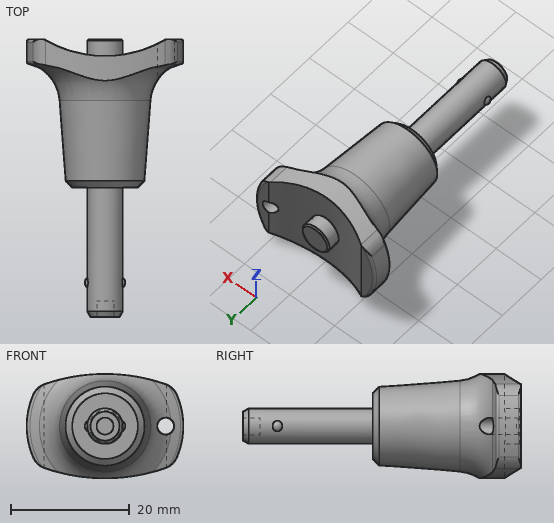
import cadquery as cq
import math

length = 46.8

pin_radius = 6.0 / 2
tip_chamfer_length = 1.0
tip_chamfer_depth = 0.55
tip_hole_diameter = 2.85
tip_hole_depth = 2.8

ball_radius = 2.0 / 2
ball_reach = 3.4
ball_y = 5.8

handle_base_y = 21.8
base_chamfer = 1.1
base_radius = 6.65
neck_y = 36.5
neck_radius = 7.68
flare_end_y = 42.0
flare_end_radius = 11.1
rim_radius = 13.2
rim_underside_y = 42.55
rim_round = 0.5

half_height = 17.6 / 2
side_arc_radius = 30.9
corner_radius = 3.5

dish_radius = 20.0
dish_depth = 2.85
button_chamfer = 0.3

lanyard_hole_diameter = 2.8
lanyard_hole_x = 10.2


def cylinder_y(radius, start, end, x=0):
    """Cylinder parallel to Y between two Y positions."""
    axis_start = cq.Vector(x, start, 0)
    return cq.Workplane(cq.Solid.makeCylinder(radius, end - start, axis_start, cq.Vector(0, 1, 0)))


def turned_handle():
    """Tapered grip flaring out to a round rim, revolved about Y."""
    corner = rim_round * math.sqrt(0.5)
    profile = (
        cq.Workplane("XY")
        .moveTo(0, handle_base_y)
        .lineTo(base_radius - base_chamfer, handle_base_y)
        .lineTo(base_radius, handle_base_y + base_chamfer)
        .lineTo(neck_radius, neck_y)
        .tangentArcPoint((flare_end_radius, flare_end_y), relative=False)
        .lineTo(rim_radius - rim_round, rim_underside_y)
        .threePointArc(
            (rim_radius - rim_round + corner, rim_underside_y + rim_round - corner),
            (rim_radius, rim_underside_y + rim_round),
        )
        .lineTo(rim_radius, length - rim_round)
        .threePointArc(
            (rim_radius - rim_round + corner, length - rim_round + corner),
            (rim_radius - rim_round, length),
        )
        .lineTo(0, length)
        .close()
    )
    return profile.revolve(360, (0, 0, 0), (0, 1, 0))


def handle_outline():
    """Rim circle trimmed by two wide side arcs, with rounded corners."""
    side_center_z = half_height - side_arc_radius
    outline = cylinder_y(rim_radius, 0, length)
    for sign in (1, -1):
        side = cylinder_y(side_arc_radius, 0, length).translate((0, 0, sign * side_center_z))
        outline = outline.intersect(side)
    return outline.edges("|Y").fillet(corner_radius)


def finger_dish():
    """Cylinder along Z that hollows the top of the handle."""
    return (
        cq.Workplane("XY", origin=(0, length - dish_depth + dish_radius, -rim_radius))
        .circle(dish_radius)
        .extrude(2 * rim_radius)
    )


def pin_and_button():
    """Shaft running the full length, from the pin tip to the push button."""
    return (
        cq.Workplane("XY")
        .lineTo(pin_radius - tip_chamfer_depth, 0)
        .lineTo(pin_radius, tip_chamfer_length)
        .lineTo(pin_radius, length - button_chamfer)
        .lineTo(pin_radius - button_chamfer, length)
        .lineTo(0, length)
        .close()
        .revolve(360, (0, 0, 0), (0, 1, 0))
    )


handle = turned_handle().intersect(handle_outline()).cut(finger_dish())
handle = handle.cut(cylinder_y(lanyard_hole_diameter / 2, 0, length, lanyard_hole_x))

result = handle.union(pin_and_button())
for sign in (1, -1):
    ball_x = sign * (ball_reach - ball_radius)
    result = result.union(cq.Workplane("XY").sphere(ball_radius).translate((ball_x, ball_y, 0)))
result = result.cut(cylinder_y(tip_hole_diameter / 2, 0, tip_hole_depth))